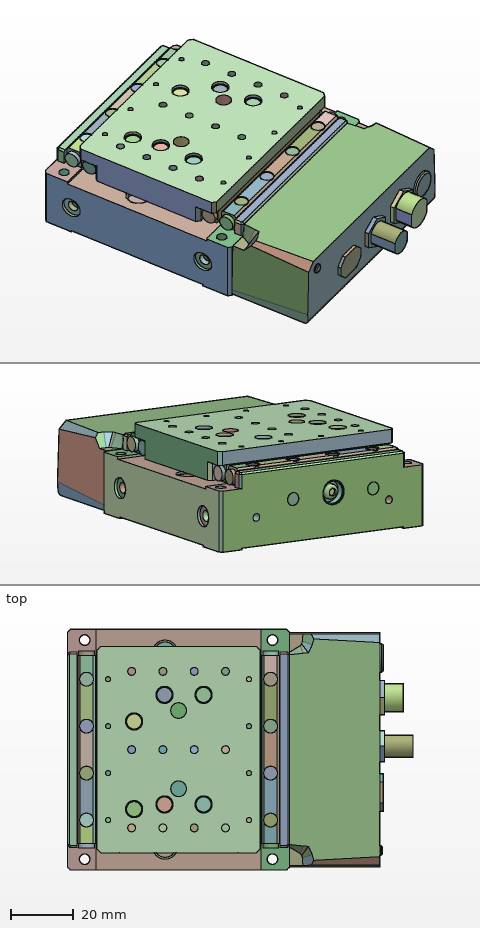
import cadquery as cq
import math


base_length = 71.0
base_width = 77.0
base_corner_chamfer = 1.0
base_end_x = base_length / 2
base_side_y = base_width / 2
pad_top_z = 20.0
floor_top_z = 19.2
floor_half_length = 26.4
foot_start_x = 25.0
foot_start_y = 30.5
foot_height = 0.5
mount_hole_x = 30.0
mount_hole_y = 35.0
mount_hole_diameter = 3.3

wall_thickness = 3.1
wall_top_z = 25.2
wall_half_width = 31.2
wall_top_chamfer = 0.6
wall_corner_chamfer = 0.7

floor_recess_x = -4.3
floor_recess_y = 31.0
floor_recess_diameter = 8.0
floor_recess_depth = 0.8
floor_recess_inner_diameter = 6.8
floor_recess_inner_depth = 2.0
side_hole_x = 25.0
side_hole_z = 10.0
side_recess_diameter = 6.8
side_recess_depth = 1.0
side_hole_diameter = 3.56
side_hole_depth = 3.0
end_hole_y = 25.0
end_hole_z = 10.0
end_hole_diameter = 2.5
end_hole_depth = 6.0
plug_y_positions = (11.1, -19.1)
plug_z = 14.4
plug_diameter = 4.2
plug_depth = 0.1

screw_y = -4.1
screw_z = 14.8
screw_bore_diameter = 8.0
screw_bore_step_depth = 0.5
screw_bore_inner_diameter = 7.2
screw_bore_depth = 3.0
screw_nose_diameter = 5.0
screw_nose_length = 2.5
screw_nose_radius = 1.2
screw_nose_hole_diameter = 2.5
screw_nose_hole_depth = 1.0

rail_half_length = 30.0
rail_height = 6.0
rail_chamfer = 0.7
rail_top_z = pad_top_z + rail_height
fixed_rail_x = 29.4
fixed_rail_width = 5.6
table_rail_x = 22.7
table_rail_width = 5.4
rail_stop_diameter = 5.0
rail_stop_length = 1.5
rail_stop_z = 22.8
rail_screw_diameter = 4.4
rail_screw_depth = 0.4
rail_screw_pitch = 15.0

table_length = 52.0
table_width = 66.0
table_top_z = 30.5
table_corner_chamfer = 1.2
table_block_length = 40.0
table_bottom_z = pad_top_z
grid_x_pitch = 10.0
grid_y_pitch = 25.0
grid_hole_diameter = 2.5
grid_hole_depth = 6.0
edge_hole_x = 22.5
edge_hole_diameter = 1.6
edge_hole_depth = 3.0
pin_hole_y = 12.5
pin_hole_diameter = 5.0
pin_hole_depth = 8.0
screw_recess_points = [(-14.2, 9), (-14.2, -19), (-4.5, 17.5), (-4.5, -17.5), (8, 17.5), (8, -17.5)]
screw_recess_diameter = 5.5
screw_recess_depth = 1.0
screw_recess_inner_diameter = 4.8
screw_recess_inner_depth = 1.2

housing_end_x = 64.3
housing_bottom_z = foot_height
housing_top_z = 24.5
housing_side_y = 37.5
housing_side_top_y = 36.9
housing_bottom_radius = 1.7
front_top_y = 35.8
front_band_top_z = 23.5
front_band_bottom_z = 2.3
front_bottom_y = 37.4
rear_top_y = 34.2
rear_band_top_z = 21.9
rear_band_bottom_z = 4.8
rear_bottom_y = 37.2

hollow_outer_y = 39.0
hollow_floor_z = 20.1
hollow_floor_outline = [(base_end_x, 31.2), (38.9, 33.2), (39.3, 33.8), (39.6, 34.6), (39.8, hollow_outer_y)]
hollow_top_outline = [(base_end_x, 30.3), (39.8, 30.8), (41.5, 30.9), (42.7, 33.5), (44.2, hollow_outer_y)]

connector_z = 12.9
nut_thickness = 1.5
large_connector_y = 16.6
large_connector_diameter = 10.2
large_connector_flats = 9.0
large_connector_end_x = 71.8
large_nut_flats = 11.0
small_connector_y = 1.1
small_connector_diameter = 8.0
small_connector_flats = 7.1
small_connector_end_x = 74.92
small_nut_flats = 10.0
cap_y = 29.3
cap_z = 12.9
cap_diameter = 9.2
cap_thickness = 1.1
cap_chamfer = 0.5
socket_y = -13.7
socket_z = 10.7
socket_width = 12.0
socket_height = 8.6
socket_corner = 2.7
socket_thickness = 1.1
lamp_y = -32.2
lamp_z = 20.4
lamp_diameter = 3.1
lamp_length = 0.8
lamp_chamfer = 0.4


def box_between(x_min, x_max, y_min, y_max, z_min, z_max):
    """A box given by its limits along each axis."""
    size = (x_max - x_min, y_max - y_min, z_max - z_min)
    return cq.Workplane("XY").box(*size, centered=False).translate((x_min, y_min, z_min))


def centred_slab(length, width, z_min, z_max):
    """A box centred on the Z axis."""
    return box_between(-length / 2, length / 2, -width / 2, width / 2, z_min, z_max)


def cylinder(start, direction, diameter, length):
    """A round bar from a start point along a direction."""
    solid = cq.Solid.makeCylinder(diameter / 2, length, cq.Vector(*start), cq.Vector(*direction))
    return cq.Workplane(obj=solid)


def holes_down(points, z_top, diameter, depth):
    """Round cutters that go down from a level surface."""
    return cq.Workplane("XY", origin=(0, 0, z_top)).pushPoints(points).circle(diameter / 2).extrude(-depth)


def centred_positions(count, pitch):
    """Evenly spaced positions, centred on zero."""
    return [(index - (count - 1) / 2) * pitch for index in range(count)]


def rail_with_stops(x, width, chamfered_edges):
    """One rail bar, with a round stop on each end."""
    rail = box_between(
        x - width / 2, x + width / 2, -rail_half_length, rail_half_length, pad_top_z, rail_top_z
    )
    rail = rail.edges(chamfered_edges).edges("|Y").chamfer(rail_chamfer)
    for side in (-1, 1):
        stop_start = (x, side * rail_half_length, rail_stop_z)
        rail = rail.union(cylinder(stop_start, (0, side, 0), rail_stop_diameter, rail_stop_length))
    return rail


def build_base_block():
    """Base block with its feet, sunk floor, walls and mounting holes."""
    block = centred_slab(base_length, base_width, 0, pad_top_z)
    block = block.edges("|Z").chamfer(base_corner_chamfer)
    block = block.cut(centred_slab(2 * floor_half_length, base_width, floor_top_z, pad_top_z))
    block = block.cut(centred_slab(2 * foot_start_x, base_width, 0, foot_height))
    block = block.cut(centred_slab(base_length, 2 * foot_start_y, 0, foot_height))
    for side in (-1, 1):
        wall = centred_slab(wall_thickness, 2 * wall_half_width, floor_top_z, wall_top_z)
        wall = wall.translate((side * (base_end_x - wall_thickness / 2), 0, 0))
        outer_edge, inner_edge = (">X", "<X") if side > 0 else ("<X", ">X")
        wall = wall.edges(f"|Z and {outer_edge}").chamfer(wall_corner_chamfer)
        wall = wall.faces(">Z").edges(f"not {inner_edge}").chamfer(wall_top_chamfer)
        block = block.union(wall)
    mount_points = [(x * mount_hole_x, y * mount_hole_y) for x in (-1, 1) for y in (-1, 1)]
    return block.cut(holes_down(mount_points, pad_top_z, mount_hole_diameter, pad_top_z))


def cut_base_recesses(base):
    """Round recesses in the floor, the long sides and the -X end."""
    recess_points = [(floor_recess_x, floor_recess_y), (floor_recess_x, -floor_recess_y)]
    base = base.cut(holes_down(recess_points, floor_top_z, floor_recess_diameter, floor_recess_depth))
    base = base.cut(
        holes_down(recess_points, floor_top_z, floor_recess_inner_diameter, floor_recess_inner_depth)
    )
    for side in (-1, 1):
        for x in (-side_hole_x, side_hole_x):
            start = (x, side * base_side_y, side_hole_z)
            base = base.cut(cylinder(start, (0, -side, 0), side_recess_diameter, side_recess_depth))
            base = base.cut(cylinder(start, (0, -side, 0), side_hole_diameter, side_hole_depth))
    for y in (-end_hole_y, end_hole_y):
        start = (-base_end_x, y, end_hole_z)
        base = base.cut(cylinder(start, (1, 0, 0), end_hole_diameter, end_hole_depth))
    for y in plug_y_positions:
        base = base.cut(cylinder((-base_end_x, y, plug_z), (1, 0, 0), plug_diameter, plug_depth))
    return base


def add_screw_end(base):
    """Stepped bore in the -X end, with the rounded, drilled nose of the lead screw inside."""
    start = (-base_end_x, screw_y, screw_z)
    base = base.cut(cylinder(start, (1, 0, 0), screw_bore_diameter, screw_bore_step_depth))
    base = base.cut(cylinder(start, (1, 0, 0), screw_bore_inner_diameter, screw_bore_depth))
    nose_start = (-base_end_x + screw_bore_depth, screw_y, screw_z)
    nose_tip = (nose_start[0] - screw_nose_length, screw_y, screw_z)
    nose = cylinder(nose_start, (-1, 0, 0), screw_nose_diameter, screw_nose_length)
    nose = nose.faces("<X").edges().fillet(screw_nose_radius)
    nose = nose.cut(cylinder(nose_tip, (1, 0, 0), screw_nose_hole_diameter, screw_nose_hole_depth))
    return base.union(nose)


def add_fixed_rails(base):
    """The two rails on the base, each with a row of screw recesses."""
    for x in (-fixed_rail_x, fixed_rail_x):
        screw_points = [(x, y) for y in centred_positions(4, rail_screw_pitch)]
        rail = rail_with_stops(x, fixed_rail_width, ">Z")
        rail = rail.cut(holes_down(screw_points, rail_top_z, rail_screw_diameter, rail_screw_depth))
        base = base.union(rail)
    return base


def housing_section(top_y, band_top_z, band_bottom_z, bottom_y):
    """Outline of the housing across X, as (y, z) points."""
    right_side = [
        (bottom_y, housing_bottom_z),
        (housing_side_y, band_bottom_z),
        (housing_side_top_y, band_top_z),
        (top_y, housing_top_z),
    ]
    left_side = [(-y, z) for y, z in reversed(right_side)]
    return right_side + left_side


def build_housing():
    """Drive housing, with sloping bands along its edges that widen to the rear."""
    front = housing_section(front_top_y, front_band_top_z, front_band_bottom_z, front_bottom_y)
    rear = housing_section(rear_top_y, rear_band_top_z, rear_band_bottom_z, rear_bottom_y)
    housing = (
        cq.Workplane("YZ", origin=(base_end_x, 0, 0))
        .polyline(front)
        .close()
        .workplane(offset=housing_end_x - base_end_x)
        .polyline(rear)
        .close()
        .loft(ruled=True, combine=True)
    )
    housing = housing.faces(">X").edges("<Z").fillet(housing_bottom_radius)
    hollow = (
        cq.Workplane("XY", origin=(0, 0, hollow_floor_z))
        .polyline(hollow_floor_outline + [(base_end_x, hollow_outer_y)])
        .close()
        .workplane(offset=housing_top_z - hollow_floor_z)
        .polyline(hollow_top_outline + [(base_end_x, hollow_outer_y)])
        .close()
        .loft(ruled=True, combine=True)
    )
    return housing.cut(hollow).cut(hollow.mirror("XZ"))


def build_connector(y, diameter, flats, end_x, nut_flats):
    """Round connector with two side flats, behind a hexagon nut with a corner up."""
    length = end_x - housing_end_x
    barrel = cylinder((housing_end_x, y, connector_z), (1, 0, 0), diameter, length)
    flat_limits = box_between(
        housing_end_x, end_x, y - flats / 2, y + flats / 2, connector_z - diameter, connector_z + diameter
    )
    nut_corner_diameter = nut_flats / math.cos(math.pi / 6)
    nut = cq.Workplane("YZ").polygon(6, nut_corner_diameter).extrude(nut_thickness)
    nut = nut.rotate((0, 0, 0), (1, 0, 0), 90).translate((housing_end_x, y, connector_z))
    return barrel.intersect(flat_limits).union(nut)


def build_rear_fittings():
    """Connectors, cap, socket and lamp on the rear face of the housing."""
    large_connector = build_connector(
        large_connector_y,
        large_connector_diameter,
        large_connector_flats,
        large_connector_end_x,
        large_nut_flats,
    )
    small_connector = build_connector(
        small_connector_y,
        small_connector_diameter,
        small_connector_flats,
        small_connector_end_x,
        small_nut_flats,
    )
    cap = cylinder((housing_end_x, cap_y, cap_z), (1, 0, 0), cap_diameter, cap_thickness)
    cap = cap.faces(">X").chamfer(cap_chamfer)
    socket = cq.Workplane("YZ").rect(socket_width, socket_height).extrude(socket_thickness)
    socket = socket.edges("|X").chamfer(socket_corner).translate((housing_end_x, socket_y, socket_z))
    lamp = cylinder((housing_end_x, lamp_y, lamp_z), (1, 0, 0), lamp_diameter, lamp_length)
    lamp = lamp.faces(">X").chamfer(lamp_chamfer)
    return [large_connector, small_connector, cap, socket, lamp]


def build_base():
    """The whole fixed body."""
    base = build_base_block()
    base = cut_base_recesses(base)
    base = add_screw_end(base)
    base = add_fixed_rails(base)
    base = base.union(build_housing())
    for fitting in build_rear_fittings():
        base = base.union(fitting)
    return base


def build_table():
    """The sliding body: a top slab on a narrower block, with a rail on each side."""
    slab = centred_slab(table_length, table_width, rail_top_z, table_top_z)
    slab = slab.edges("|Z").chamfer(table_corner_chamfer)
    block = centred_slab(table_block_length, table_width, table_bottom_z, rail_top_z)
    block = block.edges("|Z").chamfer(table_corner_chamfer)
    table = slab.union(block)
    for x in (-table_rail_x, table_rail_x):
        table = table.union(rail_with_stops(x, table_rail_width, "<Z"))

    grid_y_positions = centred_positions(3, grid_y_pitch)
    grid_points = [(x, y) for x in centred_positions(4, grid_x_pitch) for y in grid_y_positions]
    edge_y_positions = centred_positions(4, rail_screw_pitch)
    edge_points = [(x, y) for x in (-edge_hole_x, edge_hole_x) for y in edge_y_positions]
    pin_points = [(0, -pin_hole_y), (0, pin_hole_y)]
    for points, diameter, depth in (
        (grid_points, grid_hole_diameter, grid_hole_depth),
        (edge_points, edge_hole_diameter, edge_hole_depth),
        (pin_points, pin_hole_diameter, pin_hole_depth),
        (screw_recess_points, screw_recess_diameter, screw_recess_depth),
        (screw_recess_points, screw_recess_inner_diameter, screw_recess_inner_depth),
    ):
        table = table.cut(holes_down(points, table_top_z, diameter, depth))
    return table


base = build_base()
table = build_table()

result = cq.Compound.makeCompound([base.val(), table.val()])